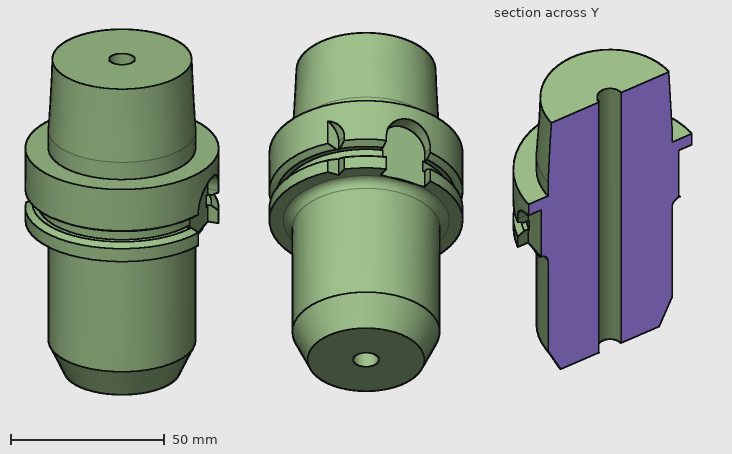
import cadquery as cq
import math

shank_height = 32.0
shank_radius = 24.0
taper_start = 6.3
taper_ratio = 1 / 10
shank_top_radius = shank_radius - (shank_height - taper_start) * taper_ratio / 2

flange_radius = 31.5
flange_height = 26.0
groove_radius = 27.5
groove_width = 3.75
groove_center_z = -18.125
groove_top = groove_center_z + groove_width / 2
groove_bottom = groove_center_z - groove_width / 2
groove_bevel_height = 1.35
groove_bevel_angle = 30.0
groove_bevel_depth = groove_bevel_height / math.tan(math.radians(groove_bevel_angle))
groove_mouth_radius = flange_radius - groove_bevel_depth

body_radius = 24.0
body_bottom = -80.0
neck_fillet = 3.0
nose_radius = 19.0
nose_angle = 25.0
nose_height = (body_radius - nose_radius) / math.tan(math.radians(nose_angle))

bore_diameter = 8.4

narrow_slot_radius = 8.0
wide_slot_radius = 9.0
slot_top = -5.15
drive_slot_floor = 26.5
notch_corner = 20.2


def turned_body():
    """Revolve the half profile of the holder around Z."""
    flange_bottom = -flange_height
    fillet_mid_offset = neck_fillet * (1 - math.sqrt(0.5))
    profile = (
        cq.Workplane("XZ")
        .moveTo(0, body_bottom)
        .lineTo(nose_radius, body_bottom)
        .lineTo(body_radius, body_bottom + nose_height)
        .lineTo(body_radius, flange_bottom - neck_fillet)
        .threePointArc(
            (body_radius + fillet_mid_offset, flange_bottom - fillet_mid_offset),
            (body_radius + neck_fillet, flange_bottom),
        )
        .lineTo(flange_radius, flange_bottom)
        .lineTo(flange_radius, groove_bottom - groove_bevel_height)
        .lineTo(groove_mouth_radius, groove_bottom)
        .lineTo(groove_radius, groove_bottom)
        .lineTo(groove_radius, groove_top)
        .lineTo(groove_mouth_radius, groove_top)
        .lineTo(flange_radius, groove_top + groove_bevel_height)
        .lineTo(flange_radius, 0)
        .lineTo(shank_radius, 0)
        .lineTo(shank_radius, taper_start)
        .lineTo(shank_top_radius, shank_height)
        .lineTo(0, shank_height)
        .close()
    )
    return profile.revolve(360, (0, 0, 0), (0, 1, 0))


def slot_cutter(slot_radius, center_y, floor_x, direction):
    """Round-topped slot running along X from its floor out past the flange."""
    reach = direction * flange_radius
    return (
        cq.Workplane("YZ", origin=(floor_x, 0, 0))
        .moveTo(center_y - slot_radius, -flange_height)
        .lineTo(center_y - slot_radius, slot_top - slot_radius)
        .threePointArc(
            (center_y, slot_top),
            (center_y + slot_radius, slot_top - slot_radius),
        )
        .lineTo(center_y + slot_radius, -flange_height)
        .close()
        .extrude(reach)
    )


def bore_cutter():
    """Bore along the whole axis."""
    return (
        cq.Workplane("XY", origin=(0, 0, body_bottom))
        .circle(bore_diameter / 2)
        .extrude(shank_height - body_bottom)
    )


result = turned_body().cut(bore_cutter())

for side, drive_slot_radius in ((-1, narrow_slot_radius), (1, wide_slot_radius)):
    result = result.cut(slot_cutter(drive_slot_radius, 0, side * drive_slot_floor, side))

notch_center_y = notch_corner + narrow_slot_radius
result = result.cut(slot_cutter(narrow_slot_radius, notch_center_y, -notch_corner, -1))